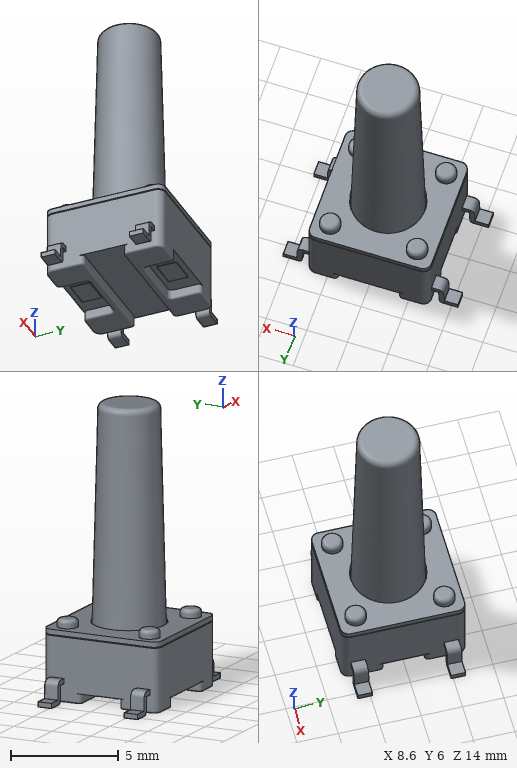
import cadquery as cq

BASE_SIDE = 6.0
BASE_HEIGHT = 3.15
CORNER_RADIUS = 0.4
BOTTOM_ROUND = 0.1

COVER_CLEARANCE = 0.05
COVER_THICKNESS = 0.25
COVER_BOTTOM = BASE_HEIGHT + COVER_CLEARANCE
COVER_TOP = COVER_BOTTOM + COVER_THICKNESS

RECESS_HEIGHT = 0.5
RECESS_ROUND = 0.2
CHANNEL_WIDTH = 2.0
POCKET_WIDTH = 3.0
POCKET_DEPTH = 1.6
PAD_WIDTH = 1.4
PAD_DEPTH = 1.0
PAD_DROP = 0.05

RIVET_OFFSET = 2.14
RIVET_DIAMETER = 1.0
RIVET_HEIGHT = 0.4
RIVET_ROUND = 0.2

TERMINAL_REACH = 4.3
TERMINAL_WIDTH = 0.7
TERMINAL_OFFSET = 2.25
TERMINAL_THICKNESS = 0.25
TERMINAL_ROOT = 0.3
SHOULDER_TOP = 1.15
SHOULDER_OUTER_X = 3.6
ANKLE_OUTER_X = 3.64
BEND_RADIUS = 0.3
ANKLE_RADIUS = 0.2

TOTAL_HEIGHT = 14.0
BUTTON_TOP_DIAMETER = 2.94
BUTTON_FOOT_DIAMETER = 3.5
BUTTON_ROUND = 0.3
COVER_HOLE_DIAMETER = BUTTON_FOOT_DIAMETER + 2 * COVER_CLEARANCE

HALF_SIDE = BASE_SIDE / 2
TOLERANCE = 1e-4
SIDES = (-1, 1)


def rounded_plate(bottom, thickness):
    """Square plate centred on Z, with rounded upright corners."""
    plate = cq.Workplane("XY").workplane(offset=bottom).rect(BASE_SIDE, BASE_SIDE).extrude(thickness)
    return plate.edges("|Z").fillet(CORNER_RADIUS)


def pocket(side):
    """Blind recess that opens through one Y face, with rounded inner corners."""
    blank = cq.Workplane("XY").center(0, side * HALF_SIDE).rect(POCKET_WIDTH, 2 * POCKET_DEPTH)
    return blank.extrude(RECESS_HEIGHT).edges("|Z").fillet(RECESS_ROUND)


def recess_mouth_edges(block):
    """Upright edges where the channel and the pockets break through the side faces."""
    mouths = []
    for edge in block.edges("|Z").vals():
        middle = edge.Center()
        near, far = sorted((abs(middle.x), abs(middle.y)))
        if far > HALF_SIDE - TOLERANCE and near < POCKET_WIDTH / 2 + TOLERANCE:
            mouths.append(edge)
    return mouths


def pocket_pad(side):
    """Shallow rectangular pad under the ceiling of a pocket."""
    centre_y = side * (HALF_SIDE - POCKET_DEPTH / 2)
    plane = cq.Workplane("XY").workplane(offset=RECESS_HEIGHT - PAD_DROP)
    return plane.center(0, centre_y).rect(PAD_WIDTH, PAD_DEPTH).extrude(PAD_DROP)


def base_block():
    """Rounded block with a channel along X and a pocket in each Y face underneath."""
    block = rounded_plate(0, BASE_HEIGHT)
    block = block.cut(cq.Workplane("XY").rect(BASE_SIDE, CHANNEL_WIDTH).extrude(RECESS_HEIGHT))
    for side in SIDES:
        block = block.cut(pocket(side))
    block = block.newObject(recess_mouth_edges(block)).fillet(RECESS_ROUND)
    block = block.faces("<Z").edges().fillet(BOTTOM_ROUND)
    for side in SIDES:
        block = block.union(pocket_pad(side))
    return block


def terminal(side_x, side_y):
    """Gull-wing terminal rooted in the base, with its foot on the ground plane."""
    thickness = TERMINAL_THICKNESS
    root_x = HALF_SIDE - TERMINAL_ROOT
    profile = [
        (root_x, SHOULDER_TOP),
        (SHOULDER_OUTER_X, SHOULDER_TOP),
        (ANKLE_OUTER_X, thickness),
        (TERMINAL_REACH, thickness),
        (TERMINAL_REACH, 0),
        (ANKLE_OUTER_X - thickness, 0),
        (SHOULDER_OUTER_X - thickness, SHOULDER_TOP - thickness),
        (root_x, SHOULDER_TOP - thickness),
    ]
    near_y = TERMINAL_OFFSET - TERMINAL_WIDTH / 2
    bar = cq.Workplane("XZ", origin=(0, near_y, 0)).polyline(profile).close().extrude(-TERMINAL_WIDTH)
    shoulder = cq.NearestToPointSelector((SHOULDER_OUTER_X, TERMINAL_OFFSET, SHOULDER_TOP))
    bar = bar.edges(shoulder).fillet(BEND_RADIUS)
    ankle = cq.NearestToPointSelector((ANKLE_OUTER_X - thickness, TERMINAL_OFFSET, 0))
    bar = bar.edges(ankle).fillet(ANKLE_RADIUS)
    if side_x < 0:
        bar = bar.mirror("YZ")
    if side_y < 0:
        bar = bar.mirror("XZ")
    return bar


def button():
    """Tapered round shaft with a rounded top edge."""
    foot_radius = BUTTON_FOOT_DIAMETER / 2
    top_radius = BUTTON_TOP_DIAMETER / 2
    half_profile = [
        (0, BASE_HEIGHT),
        (foot_radius, BASE_HEIGHT),
        (top_radius, TOTAL_HEIGHT),
        (0, TOTAL_HEIGHT),
    ]
    shaft = cq.Workplane("XZ").polyline(half_profile).close().revolve(360, (0, 0, 0), (0, 1, 0))
    return shaft.faces(">Z").edges().fillet(BUTTON_ROUND)


def switch_base():
    """Base block, button and terminals as one solid."""
    body = base_block().union(button())
    for side_x in SIDES:
        for side_y in SIDES:
            body = body.union(terminal(side_x, side_y))
    return body


def rivet_heads():
    """Four domed heads near the corners of the cover."""
    centres = [(side_x * RIVET_OFFSET, side_y * RIVET_OFFSET) for side_x in SIDES for side_y in SIDES]
    plane = cq.Workplane("XY").workplane(offset=COVER_TOP)
    heads = plane.pushPoints(centres).circle(RIVET_DIAMETER / 2).extrude(RIVET_HEIGHT)
    return heads.faces(">Z").edges().fillet(RIVET_ROUND)


def cover():
    """Cover plate with its rivet heads and the clearance hole for the button."""
    plate = rounded_plate(COVER_BOTTOM, COVER_THICKNESS)
    plane = cq.Workplane("XY").workplane(offset=COVER_BOTTOM)
    hole = plane.circle(COVER_HOLE_DIAMETER / 2).extrude(COVER_THICKNESS)
    return plate.cut(hole).union(rivet_heads())


result = cq.Compound.makeCompound([switch_base().val(), cover().val()])